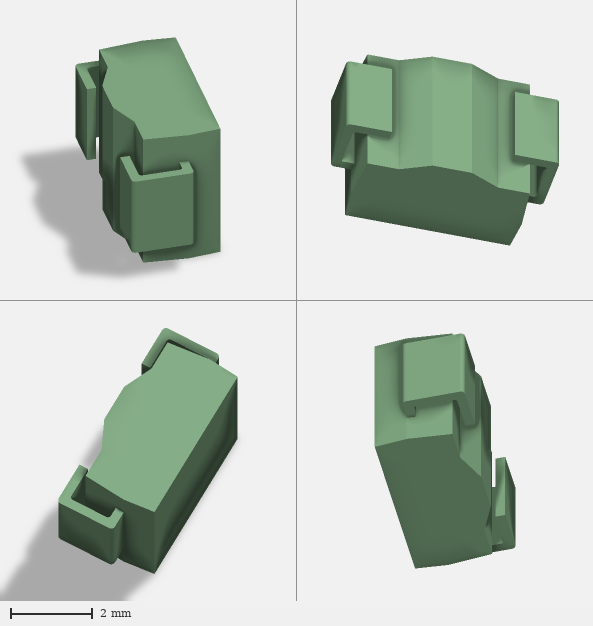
import cadquery as cq

body_length = 3.62
widest_width = 4.33
back_width = 4.18
front_width = 4.12
back_y = 2.40
parting_y = 1.575
front_y = 0.45

rib_root_width = 2.51
rib_top_width = 1.00
rib_top_y = 0.105

lead_span = 5.40
lead_width = 2.09
lead_thickness = 0.23
foot_thickness = 0.24
foot_length = 1.14
lead_top_y = parting_y
outer_bend_radius = 0.105
inner_bend_radius = 0.08
lead_embed = 0.30


def extrude_centered(profile, length):
    """Extrude an XY profile symmetrically about Z = 0."""
    return profile.extrude(length / 2, both=True)


def make_body():
    half_outline = [
        (0, back_y),
        (back_width / 2, back_y),
        (widest_width / 2, parting_y),
        (front_width / 2, front_y),
        (rib_root_width / 2, front_y),
        (rib_top_width / 2, rib_top_y),
        (0, rib_top_y),
    ]
    profile = cq.Workplane("XY").polyline(half_outline).mirrorY()
    return extrude_centered(profile, body_length)


def round_corner(lead, x, y, radius):
    """Round the lead's Z-direction edge that passes through (x, y)."""
    edge = lead.edges("|Z").edges(cq.selectors.NearestToPointSelector((x, y, 0)))
    return edge.fillet(radius)


def make_right_lead(round_upper_inner_corner):
    """C-shaped strip: out of the body, along the side, and back under it."""
    outer_x = lead_span / 2
    inner_x = outer_x - lead_thickness
    embedded_x = widest_width / 2 - lead_embed
    foot_end_x = outer_x - foot_length
    lead_underside_y = lead_top_y - lead_thickness
    outline = [
        (embedded_x, lead_top_y),
        (outer_x, lead_top_y),
        (outer_x, 0),
        (foot_end_x, 0),
        (foot_end_x, foot_thickness),
        (inner_x, foot_thickness),
        (inner_x, lead_underside_y),
        (embedded_x, lead_underside_y),
    ]
    lead = extrude_centered(cq.Workplane("XY").polyline(outline).close(), lead_width)
    lead = round_corner(lead, outer_x, lead_top_y, outer_bend_radius)
    lead = round_corner(lead, outer_x, 0, outer_bend_radius)
    lead = round_corner(lead, inner_x, foot_thickness, inner_bend_radius)
    if round_upper_inner_corner:
        lead = round_corner(lead, inner_x, lead_underside_y, inner_bend_radius)
    return lead


right_lead = make_right_lead(round_upper_inner_corner=True)
left_lead = make_right_lead(round_upper_inner_corner=False).mirror("YZ")
result = make_body().union(right_lead).union(left_lead)